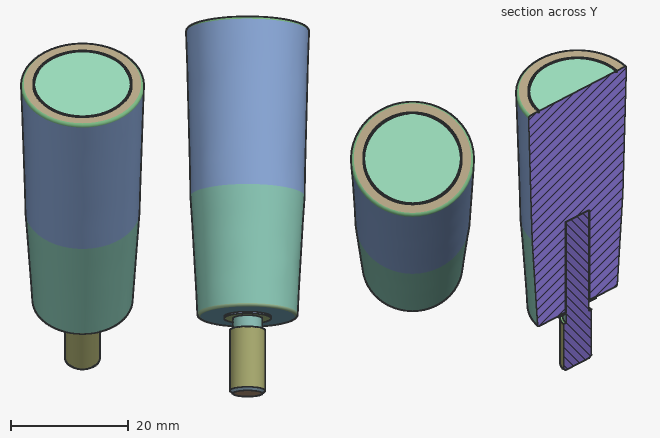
import cadquery as cq

total_height = 63.4
stud_length = 11.0
flange_bottom = 13.05
grip_bottom = 13.4
seam_height = 34.3
shank_top = seam_height

grip_top_diameter = 21.0
grip_seam_diameter = 19.45
grip_bottom_diameter = 17.05
edge_round = 0.5

groove_outer_diameter = 16.8
groove_inner_diameter = 16.35
groove_depth = 0.3

stud_diameter = 6.0
stud_chamfer = 0.5
flange_diameter = 8.0
shank_diameter = 5.0
bore_diameter = 5.1


def cylinder(diameter, bottom, top):
    """Cylinder on the Z axis between two heights."""
    return cq.Workplane("XY").workplane(offset=bottom).circle(diameter / 2).extrude(top - bottom)


def make_grip():
    """Two-stage tapered grip with rounded rims, a blind bore and a ring groove."""
    body = (
        cq.Workplane("XZ")
        .moveTo(0, grip_bottom)
        .lineTo(grip_bottom_diameter / 2, grip_bottom)
        .lineTo(grip_seam_diameter / 2, seam_height)
        .lineTo(grip_top_diameter / 2, total_height)
        .lineTo(0, total_height)
        .close()
        .revolve(360, (0, 0, 0), (0, 1, 0))
    )
    body = body.faces("<Z or >Z").edges().fillet(edge_round)
    bore = cylinder(bore_diameter, grip_bottom, shank_top)
    groove_bottom = total_height - groove_depth
    groove = cylinder(groove_outer_diameter, groove_bottom, total_height).cut(
        cylinder(groove_inner_diameter, groove_bottom, total_height)
    )
    return body.cut(bore).cut(groove)


def make_spindle():
    """Stud with a chamfered end, a thinner shank and a flange under the grip."""
    stud = cylinder(stud_diameter, 0, stud_length).faces("<Z").chamfer(stud_chamfer)
    shank = cylinder(shank_diameter, stud_length, shank_top)
    flange = cylinder(flange_diameter, flange_bottom, grip_bottom)
    return stud.union(shank).union(flange)


grip = make_grip()
spindle = make_spindle()
result = cq.Compound.makeCompound([grip.val(), spindle.val()])